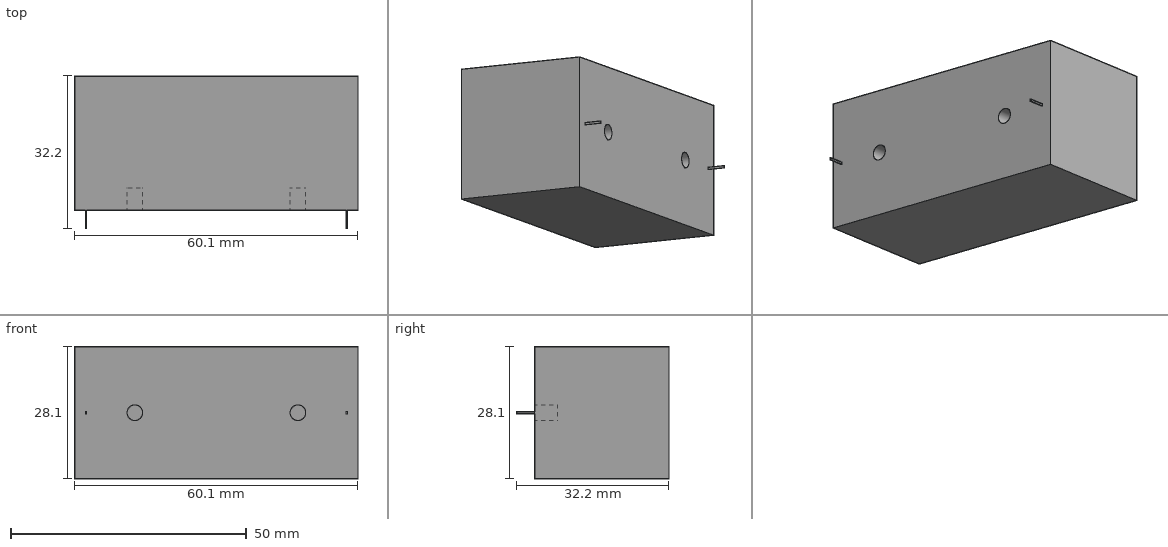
import cadquery as cq

body_length = 60.1
body_height = 28.05
overall_depth = 32.25
pin_length = 3.8
body_depth = overall_depth - pin_length

pin_pitch = 55.25
pin_thickness = 0.25
pin_width = 0.5

hole_pitch = 34.55
hole_diameter = 3.3
hole_depth = 4.8


def make_body():
    return cq.Workplane("XY").box(body_length, body_depth, body_height, centered=(True, False, True))


def make_pins():
    """Both pins, pointing from the front face toward -Y."""
    return (
        cq.Workplane("XZ")
        .rarray(pin_pitch, 0.6, 2, 1)
        .rect(pin_thickness, pin_width)
        .extrude(pin_length)
    )


def make_holes():
    """Cutters for both holes, running from the front face toward +Y."""
    return (
        cq.Workplane("XZ")
        .rarray(hole_pitch, 0.6, 2, 1)
        .circle(hole_diameter / 2)
        .extrude(-hole_depth)
    )


result = make_body().cut(make_holes()).union(make_pins())